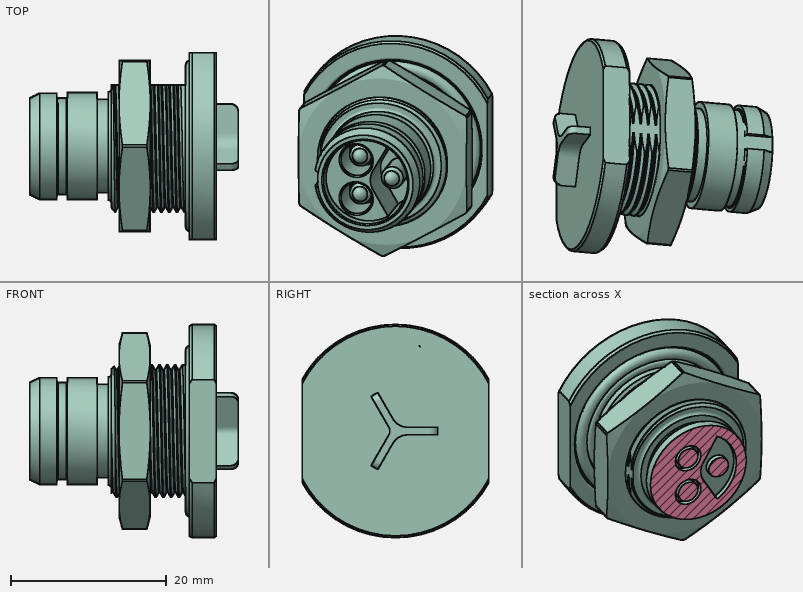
import cadquery as cq
import math


collar_start = 10.1
thread_start = 10.5
flange_front = 20.48
flange_back = 23.98
overall_length = 26.8

nose_radius = 6.88
nose_tip_radius = 6.25
nose_cone_length = 1.3
groove_start = 3.5
groove_end = 4.85
groove_radius = 6.25
groove_fillet = 0.16
nose_end = 8.65
neck_radius = 6.03
key_slot_width = 2.03
key_slot_floor = 6.2

collar_radius = 6.95
collar_fillet = thread_start - collar_start
thread_radius = 8.5
thread_depth = 0.6
thread_pitch = 1.0
thread_turns = 10
thread_root_width = 0.16
thread_flank_angle = 30
thread_chamfer = 0.52
last_groove_centre = 19.93
thread_flat_offset = 7.87
groove_clearance = 0.15

flange_radius = 13.7
flange_half_width = 12.0
flange_chamfer_radial = 0.25
flange_chamfer_front = 0.38
flange_chamfer_back = 0.27
seal_section_radius = 0.75
seal_radius = 10.3
seal_front = 20.0
seal_centre = seal_front + seal_section_radius
seal_seating = 0.05
seal_groove_half_width = 0.93
seal_groove_floor = seal_centre + seal_section_radius - seal_seating
seal_groove_rim = 0.4

insert_radius = 5.4
bore_entry_radius = 5.5
bore_chamfer = 0.2
insert_face = 1.37
recess_floor = 8.22
contact_circle = 2.9
contact_spacing_angle = 120
ground_recess_fillet = 2.52
socket_radius = 1.92
socket_entry_radius = 2.03
socket_chamfer = 0.2
socket_step = 6.85
socket_throat_radius = 1.78
pin_radius = 1.43
pin_dome_radius = 1.0
ground_pin_tip = 1.85
line_pin_tip = 2.88

separator_radius = 5.43
arm_half_width = 0.5
arm_end_fillet = 1.0
large_notch_fillet = 2.2
small_notch_fillet = 1.0

nut_start = 11.48
nut_thickness = 4.0
nut_across_flats = 21.98
nut_corner_radius = 12.6
nut_chamfer_angle = 15


def revolve_about_x(sketch):
    """Close an (x, radius) outline and turn it about the X axis."""
    return sketch.close().revolve(360, (0, 0, 0), (1, 0, 0))


def cylinder(radius, start, end):
    return cq.Workplane("YZ", origin=(start, 0, 0)).circle(radius).extrude(end - start)


def ground_wedge(start, end):
    """A 120 degree wedge opening towards -Y with a rounded apex."""
    reach = 2 * insert_radius
    spread = reach * math.tan(math.radians(contact_spacing_angle / 2))
    return (
        cq.Workplane("YZ", origin=(start, 0, 0))
        .polyline([(0, 0), (-reach, spread), (-reach, -spread)])
        .close()
        .extrude(end - start)
        .edges(cq.selectors.NearestToPointSelector(((start + end) / 2, 0, 0)))
        .fillet(ground_recess_fillet)
    )


def turned_shell():
    """The solid of revolution: nose, neck, collar and thread core."""
    core_radius = collar_radius + collar_fillet
    sketch = (
        cq.Workplane("XY")
        .lineTo(0, nose_tip_radius)
        .lineTo(nose_cone_length, nose_radius)
        .lineTo(groove_start, nose_radius)
        .lineTo(groove_start, groove_radius + groove_fillet)
        .radiusArc((groove_start + groove_fillet, groove_radius), -groove_fillet)
        .lineTo(groove_end - groove_fillet, groove_radius)
        .radiusArc((groove_end, groove_radius + groove_fillet), -groove_fillet)
        .lineTo(groove_end, nose_radius)
        .lineTo(nose_end, nose_radius)
        .lineTo(nose_end, neck_radius)
        .lineTo(collar_start, neck_radius)
        .lineTo(collar_start, collar_radius)
        .radiusArc((thread_start, core_radius), -collar_fillet)
        .lineTo(flange_back, core_radius)
        .lineTo(flange_back, 0)
    )
    return revolve_about_x(sketch)


def thread_groove():
    """A helical V groove that runs out on the flat at +Y."""
    length = thread_turns * thread_pitch
    start = last_groove_centre - length
    root_radius = thread_radius - thread_depth
    mouth_radius = thread_radius + groove_clearance
    slope = math.tan(math.radians(thread_flank_angle))
    root_half = thread_root_width / 2
    mouth_half = root_half + (thread_depth + groove_clearance) * slope
    path = cq.Wire.makeHelix(thread_pitch, length, root_radius)
    path = path.moved(cq.Plane.named("YZ", origin=(start, 0, 0)).location)
    return (
        cq.Workplane("XY")
        .polyline(
            [
                (start - root_half, root_radius),
                (start + root_half, root_radius),
                (start + mouth_half, mouth_radius),
                (start - mouth_half, mouth_radius),
            ]
        )
        .close()
        .sweep(cq.Workplane(path), isFrenet=True)
    )


def thread():
    """The threaded length, chamfered at its start and flattened on the +Y side."""
    size = 2 * thread_radius
    blank = (
        cylinder(thread_radius, thread_start, flange_front)
        .faces("<X")
        .chamfer(thread_chamfer)
        .intersect(
            cq.Workplane("XY")
            .box(2 * overall_length, size, size)
            .translate((0, thread_flat_offset - thread_radius, 0))
        )
    )
    rod = cylinder(thread_radius, nose_end, flange_back)
    return rod.cut(thread_groove()).intersect(blank)


def flange():
    """The round flange with two flats, a sealing groove and the ring seated in it."""
    rim = flange_radius - flange_chamfer_radial
    disc = revolve_about_x(
        cq.Workplane("XY")
        .moveTo(flange_front, 0)
        .lineTo(flange_front, rim)
        .lineTo(flange_front + flange_chamfer_front, flange_radius)
        .lineTo(flange_back - flange_chamfer_back, flange_radius)
        .lineTo(flange_back, rim)
        .lineTo(flange_back, 0)
    )
    width = 2 * flange_half_width
    disc = disc.intersect(cq.Workplane("XY").box(2 * overall_length, width, 2 * flange_radius))

    inner_wall = seal_radius - seal_groove_half_width
    outer_wall = seal_radius + seal_groove_half_width
    groove = revolve_about_x(
        cq.Workplane("XY")
        .moveTo(flange_front, inner_wall - seal_groove_rim)
        .lineTo(flange_front, outer_wall + seal_groove_rim)
        .radiusArc((flange_front + seal_groove_rim, outer_wall), -seal_groove_rim)
        .lineTo(seal_groove_floor, outer_wall)
        .lineTo(seal_groove_floor, inner_wall)
        .lineTo(flange_front + seal_groove_rim, inner_wall)
        .radiusArc((flange_front, inner_wall - seal_groove_rim), -seal_groove_rim)
    )
    ring = (
        cq.Workplane("XY")
        .center(seal_centre, seal_radius)
        .circle(seal_section_radius)
        .revolve(360, (0, -seal_radius, 0), (1, -seal_radius, 0))
    )
    return disc.cut(groove).union(ring)


def key_slot():
    """The keyway on the +Y side, through the front land and across the groove."""
    return cq.Workplane("XY").box(
        groove_end, nose_radius, key_slot_width, centered=(False, False, True)
    ).translate((0, key_slot_floor, 0))


def bore():
    """The slightly tapered, chamfered bore in front of the contact insert."""
    return revolve_about_x(
        cq.Workplane("XY")
        .lineTo(0, bore_entry_radius + bore_chamfer)
        .lineTo(bore_chamfer, bore_entry_radius)
        .lineTo(insert_face, insert_radius)
        .lineTo(insert_face, 0)
    )


def ground_recess():
    """The part of the insert bore left open around the ground contact."""
    return ground_wedge(insert_face, recess_floor).intersect(
        cylinder(insert_radius, insert_face, recess_floor)
    )


def socket():
    """A slightly tapered, chamfered socket that steps down near its floor."""
    return revolve_about_x(
        cq.Workplane("XY")
        .moveTo(insert_face, 0)
        .lineTo(insert_face, socket_entry_radius + socket_chamfer)
        .lineTo(insert_face + socket_chamfer, socket_entry_radius)
        .lineTo(socket_step, socket_radius)
        .lineTo(socket_step, socket_throat_radius)
        .lineTo(recess_floor, socket_throat_radius)
        .lineTo(recess_floor, 0)
    )


def pin(tip):
    """A contact pin with a conical shoulder and a domed tip."""
    dome_end = tip + pin_dome_radius
    shoulder = pin_radius - pin_dome_radius
    return revolve_about_x(
        cq.Workplane("XY")
        .moveTo(tip, 0)
        .radiusArc((dome_end, pin_dome_radius), pin_dome_radius)
        .lineTo(dome_end + shoulder, pin_radius)
        .lineTo(recess_floor, pin_radius)
        .lineTo(recess_floor, 0)
    )


def at_contact(shape, index):
    """Place a shape at a contact position; index 0 is the ground contact at -Y."""
    return shape.translate((0, -contact_circle, 0)).rotate(
        (0, 0, 0), (1, 0, 0), index * contact_spacing_angle
    )


def separator():
    """The three-armed insulating separator behind the flange."""
    length = overall_length - flange_back
    arm = (
        cq.Workplane("YZ", origin=(flange_back, separator_radius, 0))
        .rect(2 * separator_radius, 2 * arm_half_width)
        .extrude(length)
    )
    arms = arm
    for index in (1, 2):
        arms = arms.union(arm.rotate((0, 0, 0), (1, 0, 0), index * contact_spacing_angle))

    half_spacing = math.radians(contact_spacing_angle / 2)
    corner_distance = arm_half_width / math.sin(half_spacing)
    notch_fillets = (large_notch_fillet, small_notch_fillet, large_notch_fillet)
    for index, radius in enumerate(notch_fillets):
        angle = (2 * index + 1) * half_spacing
        corner = (
            flange_back + length / 2,
            corner_distance * math.cos(angle),
            corner_distance * math.sin(angle),
        )
        arms = arms.edges(cq.selectors.NearestToPointSelector(corner)).fillet(radius)

    envelope = cylinder(separator_radius, flange_back, overall_length).faces(">X").edges()
    return arms.intersect(envelope.fillet(arm_end_fillet))


def make_connector():
    """The whole connector: shell, thread, flange, contacts and separator."""
    body = turned_shell().union(thread())
    body = body.union(flange())
    body = body.cut(key_slot()).cut(bore()).cut(ground_recess())
    for index in (1, 2):
        body = body.cut(at_contact(socket(), index))
    body = body.union(at_contact(pin(ground_pin_tip), 0))
    for index in (1, 2):
        body = body.union(at_contact(pin(line_pin_tip), index))
    return body.union(separator())


def make_nut():
    """The hexagon nut, chamfered on both faces, with two corners on the Z axis."""
    nut_end = nut_start + nut_thickness
    flat_radius = nut_across_flats / 2
    hexagon = (
        cq.Workplane("YZ", origin=(nut_start, 0, 0))
        .polygon(6, nut_across_flats, circumscribed=True)
        .extrude(nut_thickness)
    )
    chamfer = (nut_corner_radius - flat_radius) * math.tan(math.radians(nut_chamfer_angle))
    envelope = revolve_about_x(
        cq.Workplane("XY")
        .moveTo(nut_start, 0)
        .lineTo(nut_start, flat_radius)
        .lineTo(nut_start + chamfer, nut_corner_radius)
        .lineTo(nut_end - chamfer, nut_corner_radius)
        .lineTo(nut_end, flat_radius)
        .lineTo(nut_end, 0)
    )
    return hexagon.intersect(envelope).cut(cylinder(thread_radius, nut_start, nut_end))


connector = make_connector()
nut = make_nut()

result = cq.Compound.makeCompound([connector.solids().val(), nut.solids().val()])